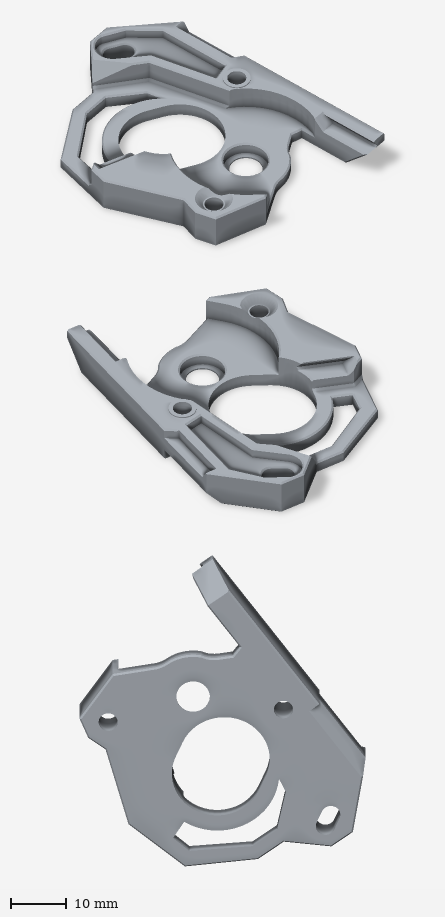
import cadquery as cq
import math

plate_top = 7.0
floor_top = 2.5
ledge_top = 5.0
boss_height = 0.2

edge_chamfer = 0.3
base_chamfer = 0.5

length = 56.0
width = 41.4
arm_lower_y = 36.45
west_corner_x = 9.65

overshoot = 0.55
beyond = 2 * length

bearing_x, bearing_y = 38.2, 24.0
bearing_bore = 6.0
bearing_seat = 8.1
bearing_lip = 0.3
swing_radius = 13.7
swing_exit_angle = -48.0
nose_radius = 8.05
nose_middle_angle = 23.0

slot_angle = 60.0
window_x, window_y = 24.35, 20.05
window_width = 16.25
window_travel = 3.15
ring_x, ring_y = 23.6, 18.7
ring_radius = 11.1

screw_hole = 3.4
boss_x, boss_y = 26.65, 35.6
boss_diameter = 5.0
sink_x, sink_y = 43.2, 8.85
sink_diameter = 6.8
sink_depth = 1.4
adjuster_x, adjuster_y = 4.55, 29.35
adjuster_travel = 2.4

joint_undercut = 0.8
joint_foot_run = 0.25
arm_joint_x, arm_joint_y = 44.0, 38.5
lower_joint_x, lower_joint_y = 22.4, 1.8
lower_joint_angle = 69.0
lower_ramp_skew = 6.0

arm_tip_height = 5.05
west_bevel = 2.25
west_recess_end = 23.7


def polygon(points, z):
    return cq.Workplane("XY").workplane(offset=z).polyline(points).close()


def disc(x, y, diameter, z_low, z_high):
    height = z_high - z_low
    return cq.Workplane("XY").workplane(offset=z_low).center(x, y).circle(diameter / 2).extrude(height)


def cone(x, y, top_diameter, z_top, depth):
    """45 degree countersink narrowing downwards from z_top."""
    top = cq.Workplane("XY").workplane(offset=z_top).center(x, y).circle(top_diameter / 2)
    return top.workplane(offset=-depth).circle(top_diameter / 2 - depth).loft()


def flare(sketch_at, z_top):
    """Cutter that chamfers the rim of an opening whose outline is sketch_at(z)."""
    return sketch_at(z_top - edge_chamfer).extrude(edge_chamfer, taper=-45)


def outline():
    """Outer edge of the part, clockwise from the left corner."""
    nose_angle = math.radians(nose_middle_angle)
    nose_middle = (
        bearing_x + nose_radius * math.cos(nose_angle),
        bearing_y + nose_radius * math.sin(nose_angle),
    )
    return (
        cq.Workplane("XY")
        .moveTo(0, 31.5)
        .lineTo(west_corner_x, width)
        .lineTo(length, width)
        .lineTo(length, arm_lower_y)
        .lineTo(41.0, arm_lower_y)
        .lineTo(40.4, 34.4)
        .lineTo(41.6, 32.05)
        .tangentArcPoint((43.75, 29.9), relative=False)
        .threePointArc(nose_middle, (bearing_x + nose_radius, bearing_y))
        .tangentArcPoint((46.65, 22.0), relative=False)
        .lineTo(50.2, 14.95)
        .lineTo(46.7, 5.05)
        .lineTo(42.7, 4.1)
        .lineTo(39.1, 5.25)
        .lineTo(24.9, 0)
        .lineTo(12.3, 3.3)
        .lineTo(5.75, 14.7)
        .lineTo(5.75, 20.45)
        .lineTo(0, 26.75)
        .close()
    )


def chamfered_slab(height):
    """Outline extruded from the underside, chamfered all round except at the arm tip."""
    slab = outline().extrude(height)
    for face in (">Z", "<Z"):
        slab = slab.faces(face).edges("not >X").chamfer(edge_chamfer)
    return slab


def swing_recess():
    """Cylinder around the bearing, leaving along a tangent at the lower right.

    Only the lower side has a broken rim.
    """
    exit_depth = 3.35
    exit_length = 4.5
    recess = disc(bearing_x, bearing_y, 2 * swing_radius, -overshoot, plate_top + overshoot)
    rim = cone(bearing_x, bearing_y, 2 * (swing_radius + edge_chamfer), plate_top, edge_chamfer)
    lower_half = cq.Workplane("XY").rect(beyond, 2 * bearing_y).extrude(plate_top)
    recess = recess.union(rim.intersect(lower_half))

    def exit_sketch(z):
        return (
            cq.Workplane("XY")
            .workplane(offset=z)
            .center(bearing_x, bearing_y)
            .transformed(rotate=(0, 0, swing_exit_angle))
            .center(swing_radius - exit_depth / 2, exit_length / 2)
            .rect(exit_depth, exit_length)
        )

    exit_cut = exit_sketch(-overshoot).extrude(plate_top + overshoot)
    return recess.union(exit_cut).union(flare(exit_sketch, plate_top))


def frame_recess():
    """Open area left of the window; its walls flare at the foot and at the rim."""
    outside = 2.8
    points = [
        (3.65, 19.25),
        (11.7, 29.2),
        (29.35, 33.0),
        (28.0, 19.6),
        (25.0, 16.25),
        (20.05, 3.5),
        (21.35, 0.95),
        (22.95, -outside),
        (-outside, -outside),
        (-outside, 19.05),
    ]

    def sketch(z):
        return polygon(points, z)

    foot_top = floor_top + base_chamfer
    upper = sketch(foot_top).extrude(plate_top - foot_top)
    foot = sketch(foot_top).extrude(-base_chamfer, taper=45)
    below = sketch(floor_top).offset2D(-base_chamfer).extrude(-floor_top - overshoot)
    return upper.union(foot).union(below).union(flare(sketch, plate_top))


def west_corner_facet():
    """Slanted corner cut where the left block meets the frame."""
    outer_top = cq.Vector(3.6, 23.25, plate_top)
    inner_top = cq.Vector(9.65, 26.95, plate_top)
    bottom = cq.Vector(5.25, 21.1, 3.6)
    top_edge = inner_top - outer_top
    normal = (bottom - outer_top).cross(top_edge)
    plane = cq.Plane(origin=outer_top.toTuple(), xDir=top_edge.toTuple(), normal=normal.toTuple())
    reach = 11.2
    region = cq.Workplane("XY").box(reach, reach, plate_top).translate((6.7, 21.3, plate_top))
    return cq.Workplane(plane).rect(beyond, beyond).extrude(beyond).intersect(region)


def joint(x, y, angle, wall_side, lip_setback, ramp_skew=0.0):
    """Stepped ledge that starts with a 45 degree ramp at (x, y) and runs along angle.

    The wall, undercut below its lip, stands on the left for wall_side 1 and on the right for -1.
    The top of the lip leans back by lip_setback; with 0 it is a plain upright land.
    """
    reach = 6.7
    run = 16.8
    cutter_top = plate_top + overshoot
    ramp_bottom = ledge_top - overshoot
    profile = [
        (-reach, ledge_top),
        (joint_undercut - joint_foot_run, ledge_top),
        (joint_undercut, ledge_top + base_chamfer),
        (0, plate_top - edge_chamfer),
        (lip_setback, plate_top),
        (lip_setback, cutter_top),
        (-reach, cutter_top),
    ]
    ledge = (
        cq.Workplane("YZ")
        .workplane(offset=-reach)
        .polyline([(wall_side * u, z) for u, z in profile])
        .close()
        .extrude(run + reach)
    )
    ramp_profile = [
        (-2 * reach, ramp_bottom),
        (plate_top - ramp_bottom, ramp_bottom),
        (-overshoot, cutter_top),
        (-2 * reach, cutter_top),
    ]
    ramp = (
        cq.Workplane("XZ")
        .polyline(ramp_profile)
        .close()
        .extrude(2 * reach, both=True)
        .rotate((0, 0, 0), (0, 0, 1), ramp_skew)
    )
    return ledge.cut(ramp).rotate((0, 0, 0), (0, 0, 1), angle).translate((x, y, 0))


def arm_rim(profile):
    """Chamfer, on the arm's lower face, around a cut of the given XZ profile."""
    chamfer_y = arm_lower_y + edge_chamfer
    rim = cq.Workplane("XZ").workplane(offset=-chamfer_y).polyline(profile).close()
    return rim.extrude(edge_chamfer, taper=-45)


def arm_ledge():
    """Joint along the arm, with the ledge's outer edge broken."""
    profile = [
        (arm_joint_x + plate_top - ledge_top, ledge_top),
        (length + overshoot, ledge_top),
        (length + overshoot, plate_top + overshoot),
        (arm_joint_x - overshoot, plate_top + overshoot),
    ]
    return joint(arm_joint_x, arm_joint_y, 0, 1, edge_chamfer).union(arm_rim(profile))


def arm_slope():
    """45 degree cut under the arm tip, with its edge on the lower face broken."""
    slope_foot = length - arm_tip_height
    profile = [
        (slope_foot - overshoot, -overshoot),
        (length + overshoot, -overshoot),
        (length + overshoot, arm_tip_height + overshoot),
    ]
    slope = cq.Workplane("XZ").polyline(profile).close().extrude(-beyond)
    return slope.union(arm_rim(profile))


def strap_opening():
    """Curved through opening between the outer frame and the ring, with a broken rim."""
    points = [
        (8.45, 20.9),
        (13.45, 26.5),
        (19.05, 27.55),
        (20.15, 10.1),
        (18.15, 4.9),
        (14.4, 5.8),
        (8.45, 15.5),
    ]

    def sketch(z):
        return polygon(points, z)

    opening = sketch(-overshoot).extrude(floor_top + overshoot).union(flare(sketch, floor_top))
    ring = disc(ring_x, ring_y, 2 * ring_radius, -overshoot, floor_top)
    ring = ring.faces(">Z").edges().chamfer(edge_chamfer)
    return opening.cut(ring)


def slot(x, y, slot_width, travel, z_top):
    """Slanted through slot with its rim broken at z_top."""
    def sketch(z):
        return (
            cq.Workplane("XY")
            .workplane(offset=z)
            .center(x, y)
            .slot2D(travel + slot_width, slot_width, slot_angle)
        )

    return sketch(-overshoot).extrude(z_top + overshoot).union(flare(sketch, z_top))


def window(z_top):
    return slot(window_x, window_y, window_width, window_travel, z_top)


def lower_ledge():
    """Joint below the window, with the window's rim broken across the ledge."""
    ledge = joint(lower_joint_x, lower_joint_y, lower_joint_angle, -1, 0, lower_ramp_skew)
    rim = window(ledge_top).intersect(ledge.translate((0, 0, -edge_chamfer)))
    return ledge.union(rim)


def bearing_hole():
    """Stepped bore for the bearing, with the seat's rim broken."""
    bore = disc(bearing_x, bearing_y, bearing_bore, -overshoot, floor_top)
    seat = disc(bearing_x, bearing_y, bearing_seat, bearing_lip, floor_top)
    rim = cone(bearing_x, bearing_y, bearing_seat + 2 * edge_chamfer, floor_top, edge_chamfer)
    return bore.union(seat).union(rim)


def sunk_hole():
    """Countersunk screw hole at the lower right."""
    hole = disc(sink_x, sink_y, screw_hole, -overshoot, plate_top)
    return hole.union(cone(sink_x, sink_y, sink_diameter, plate_top, sink_depth))


def adjuster_pocket():
    """Shallow pocket around the adjuster slot, with a broken rim."""
    def sketch(z):
        return (
            cq.Workplane("XY")
            .workplane(offset=z)
            .moveTo(8.4, 37.2)
            .lineTo(22.75, 37.2)
            .lineTo(23.5, 33.6)
            .lineTo(10.75, 30.9)
            .lineTo(6.2, 26.05)
            .threePointArc((4.0, 25.15), (0.85, 29.0))
            .lineTo(3.15, 33.05)
            .close()
        )

    return sketch(ledge_top).extrude(plate_top - ledge_top).union(flare(sketch, plate_top))


def west_edge_recess():
    """Lowered strip on the upper left edge, entered by a steep ramp."""
    depth_y = 2.1
    ramp_run = 1.35
    inner_y = width - depth_y
    end_lean = 0.75

    def sketch(z, start_x, back_y):
        return polygon(
            [
                (start_x, width + overshoot),
                (start_x, back_y),
                (west_recess_end - end_lean * (width - back_y), back_y),
                (west_recess_end + end_lean * overshoot, width + overshoot),
            ],
            z,
        )

    def end_sketch(z):
        return sketch(z, west_corner_x + edge_chamfer, inner_y + edge_chamfer)

    strip = sketch(ledge_top, west_corner_x, inner_y).extrude(plate_top - ledge_top)
    end_rim = flare(end_sketch, plate_top)
    ramp = (
        cq.Workplane("XZ")
        .polyline(
            [
                (west_corner_x, ledge_top),
                (west_corner_x + ramp_run, ledge_top),
                (west_corner_x, plate_top),
            ]
        )
        .close()
        .extrude(-beyond)
    )
    return strip.cut(ramp).union(end_rim)


def west_edge_bevel():
    """45 degree bevel under the upper left edge."""
    profile = [
        (width + overshoot, -overshoot),
        (width - west_bevel - overshoot, -overshoot),
        (width + overshoot, west_bevel + overshoot),
    ]
    return (
        cq.Workplane("YZ")
        .polyline(profile)
        .close()
        .extrude(west_recess_end)
    )


def adjuster_slot():
    return slot(adjuster_x, adjuster_y, screw_hole, adjuster_travel, ledge_top)


raised = chamfered_slab(plate_top).cut(swing_recess()).cut(frame_recess()).cut(west_corner_facet())
body = raised.union(chamfered_slab(floor_top))

for cutter in (
    arm_ledge(),
    arm_slope(),
    west_edge_recess(),
    west_edge_bevel(),
    lower_ledge(),
    window(plate_top),
    strap_opening(),
    bearing_hole(),
    adjuster_pocket(),
    adjuster_slot(),
    sunk_hole(),
):
    body = body.cut(cutter)

boss_top = plate_top + boss_height
boss = disc(boss_x, boss_y, boss_diameter, plate_top, boss_top)
result = body.union(boss).cut(disc(boss_x, boss_y, screw_hole, -overshoot, boss_top))